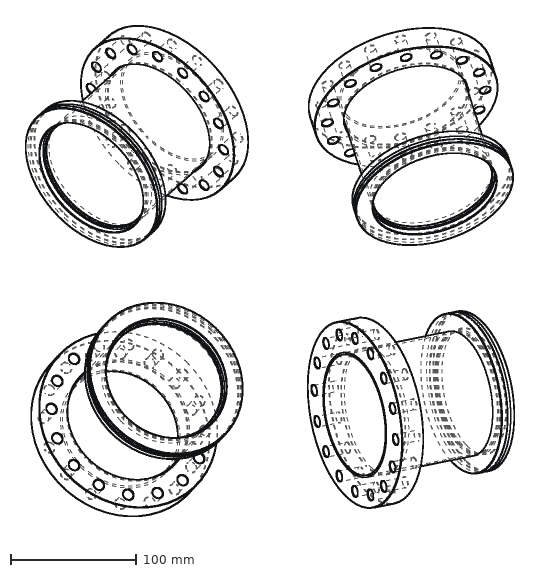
import cadquery as cq
import math

total_length = 110.0
tube_outer_radius = 50.8
tube_inner_radius = 49.1
edge_chamfer = 0.5

clamp_radius = 65.2
clamp_thickness = 12.0
clamp_bore_radius = 49.4
clamp_recess_radius = 51.1
clamp_recess_depth = 4.9
clamp_socket_start = 7.0
groove_center_y = 5.0
groove_width = 2.7
groove_depth = 1.7

bolt_flange_radius = 75.8
bolt_flange_thickness = 19.9
bolt_count = 16
bolt_circle_radius = 65.2
bolt_hole_radius = 4.2
bolt_hole_chamfer = 0.5
bolt_flange_relief_radius = 51.7
bolt_flange_relief_depth = 3.0

bolt_flange_front = total_length - bolt_flange_thickness


def disc(radius, start_y, end_y):
    """Solid cylinder about the Y axis between two Y positions."""
    plane = cq.Workplane("XZ", origin=(0, start_y, 0))
    return plane.circle(radius).extrude(start_y - end_y)


def clamp_groove():
    """Ring cutter for the round-bottomed groove in the clamp flange rim."""
    bottom_radius = groove_width / 2
    floor = clamp_radius - groove_depth
    arc_center = floor + bottom_radius
    diagonal = bottom_radius * math.sqrt(0.5)
    front = groove_center_y - bottom_radius
    back = groove_center_y + bottom_radius
    rim = clamp_radius + groove_depth
    profile = (
        cq.Workplane("XY")
        .moveTo(rim, front)
        .lineTo(arc_center, front)
        .threePointArc((arc_center - diagonal, groove_center_y - diagonal), (floor, groove_center_y))
        .threePointArc((arc_center - diagonal, groove_center_y + diagonal), (arc_center, back))
        .lineTo(rim, back)
        .close()
    )
    return profile.revolve(360, (0, 0, 0), (0, 1, 0))


def make_clamp_flange():
    """Grooved flange with a face recess, a bore and a tube socket from behind."""
    flange = disc(clamp_radius, 0, clamp_thickness).edges().chamfer(edge_chamfer)
    flange = flange.cut(disc(clamp_bore_radius, 0, clamp_thickness))
    flange = flange.cut(disc(clamp_recess_radius, 0, clamp_recess_depth))
    recess_rim = cq.selectors.RadiusNthSelector(0)
    flange = flange.faces("<Y").edges("%CIRCLE").edges(recess_rim).chamfer(edge_chamfer)
    flange = flange.cut(disc(tube_outer_radius, clamp_socket_start, clamp_thickness))
    return flange.cut(clamp_groove())


def bolt_hole():
    """Cutter for one bolt hole on the Y axis, flared by a chamfer at both ends."""
    mouth_radius = bolt_hole_radius + bolt_hole_chamfer
    profile = cq.Workplane("XY").polyline([
        (0, bolt_flange_front),
        (mouth_radius, bolt_flange_front),
        (bolt_hole_radius, bolt_flange_front + bolt_hole_chamfer),
        (bolt_hole_radius, total_length - bolt_hole_chamfer),
        (mouth_radius, total_length),
        (0, total_length),
    ]).close()
    return profile.revolve(360, (0, 0, 0), (0, 1, 0))


def make_bolt_flange():
    """Thick flange with a ring of chamfered through holes, a tube bore and a relief around the tube."""
    flange = disc(bolt_flange_radius, bolt_flange_front, total_length).edges().chamfer(edge_chamfer)
    flange = flange.cut(disc(tube_outer_radius, bolt_flange_front, total_length))
    relief_end = bolt_flange_front + bolt_flange_relief_depth
    flange = flange.cut(disc(bolt_flange_relief_radius, bolt_flange_front, relief_end))
    for index in range(bolt_count):
        angle = 2 * math.pi * index / bolt_count
        hole_x = bolt_circle_radius * math.cos(angle)
        hole_z = bolt_circle_radius * math.sin(angle)
        flange = flange.cut(bolt_hole().translate((hole_x, 0, hole_z)))
    return flange


def make_tube():
    """Straight tube from the clamp flange socket to the outer face of the bolted flange."""
    tube = disc(tube_outer_radius, clamp_socket_start, total_length)
    return tube.cut(disc(tube_inner_radius, clamp_socket_start, total_length))


clamp_flange = make_clamp_flange()
bolt_flange = make_bolt_flange()
tube = make_tube()

result = cq.Compound.makeCompound([clamp_flange.val(), bolt_flange.val(), tube.val()])